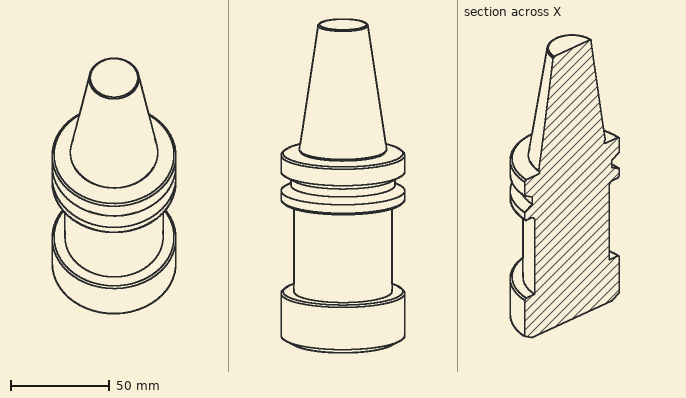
import cadquery as cq
import math

height = 165.4
outer_radius = 63.0 / 2
edge_chamfer = 1.0

nut_height = 26.0
nut_nose_radius = 26.5

body_radius = 50.0 / 2

flange_bottom = 73.1
flange_top = 98.0
groove_center = 83.5
groove_floor_width = 4.1
groove_floor_radius = 53.0 / 2
bevel_angle = math.radians(30)
root_fillet = 2.0

gauge_height = 100.0
gauge_radius = 44.5 / 2
taper_length = height - gauge_height
tip_radius = gauge_radius - taper_length * 7 / 24 / 2
tip_chamfer = 0.7
neck_radius = 21.5
neck_top = 99.0

groove_bevel = (outer_radius - groove_floor_radius) * math.tan(bevel_angle)
nose_bevel = (outer_radius - nut_nose_radius) * math.tan(bevel_angle)
groove_floor_bottom = groove_center - groove_floor_width / 2
groove_floor_top = groove_center + groove_floor_width / 2
neck_fillet = neck_top - flange_top
arc_mid = 1 - math.sqrt(0.5)

profile = (
    cq.Workplane("XZ")
    .moveTo(0, 0)
    .lineTo(nut_nose_radius, 0)
    .lineTo(outer_radius, nose_bevel)
    .lineTo(outer_radius, nut_height - edge_chamfer)
    .lineTo(outer_radius - edge_chamfer, nut_height)
    .lineTo(body_radius, nut_height)
    .lineTo(body_radius, flange_bottom - root_fillet)
    .threePointArc(
        (body_radius + arc_mid * root_fillet, flange_bottom - arc_mid * root_fillet),
        (body_radius + root_fillet, flange_bottom),
    )
    .lineTo(outer_radius - edge_chamfer, flange_bottom)
    .lineTo(outer_radius, flange_bottom + edge_chamfer)
    .lineTo(outer_radius, groove_floor_bottom - groove_bevel)
    .lineTo(groove_floor_radius, groove_floor_bottom)
    .lineTo(groove_floor_radius, groove_floor_top)
    .lineTo(outer_radius, groove_floor_top + groove_bevel)
    .lineTo(outer_radius, flange_top - edge_chamfer)
    .lineTo(outer_radius - edge_chamfer, flange_top)
    .lineTo(neck_radius + neck_fillet, flange_top)
    .threePointArc(
        (neck_radius + arc_mid * neck_fillet, flange_top + arc_mid * neck_fillet),
        (neck_radius, neck_top),
    )
    .lineTo(gauge_radius, gauge_height)
    .lineTo(tip_radius, height - tip_chamfer)
    .lineTo(tip_radius - tip_chamfer, height)
    .lineTo(0, height)
    .close()
)

result = profile.revolve(360, (0, 0, 0), (0, 1, 0))